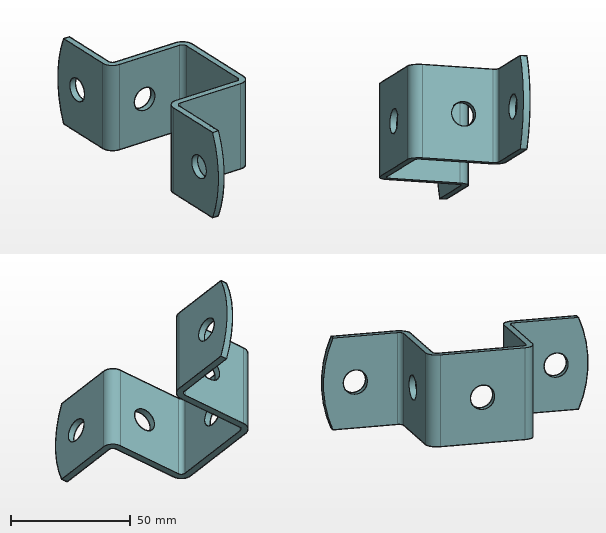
import cadquery as cq
import math

length = 116.0
depth = 41.0
height = 40.0

thickness = 3.0
inner_bend_radius = 2.0
outer_bend_radius = inner_bend_radius + thickness

hat_width = 47.0
end_radius = 50.0

hole_diameter = 10.5
flange_hole_x = 44.0
leg_hole_y = 18.0

half_length = length / 2
half_height = height / 2
hat_outer_x = hat_width / 2
hat_inner_x = hat_outer_x - thickness

match_tolerance = 0.01


def bent_strip():
    """Hat-shaped sheet with square ends, folded along Z."""
    outline = [
        (-half_length, 0),
        (-hat_inner_x, 0),
        (-hat_inner_x, depth - thickness),
        (hat_inner_x, depth - thickness),
        (hat_inner_x, 0),
        (half_length, 0),
        (half_length, thickness),
        (hat_outer_x, thickness),
        (hat_outer_x, depth),
        (-hat_outer_x, depth),
        (-hat_outer_x, thickness),
        (-half_length, thickness),
    ]
    strip = (
        cq.Workplane("XY")
        .workplane(offset=-half_height)
        .polyline(outline)
        .close()
        .extrude(height)
    )
    outer_bends = [(x, 0) for x in (-hat_inner_x, hat_inner_x)]
    outer_bends += [(x, depth) for x in (-hat_outer_x, hat_outer_x)]
    inner_bends = [(x, thickness) for x in (-hat_outer_x, hat_outer_x)]
    inner_bends += [(x, depth - thickness) for x in (-hat_inner_x, hat_inner_x)]
    strip = round_bends(strip, outer_bends, outer_bend_radius)
    return round_bends(strip, inner_bends, inner_bend_radius)


def round_bends(strip, corners, radius):
    """Fillet the vertical edges standing at the given XY corners."""
    edges = strip.edges("|Z").filter(
        lambda edge: any(
            abs(edge.Center().x - x) + abs(edge.Center().y - y) < match_tolerance
            for x, y in corners
        )
    )
    return edges.fillet(radius)


def rounded_end_envelope():
    """Block through the full depth whose two ends are shallow arcs."""
    end_bulge = end_radius - math.sqrt(end_radius**2 - half_height**2)
    corner_x = half_length - end_bulge
    return (
        cq.Workplane("XZ")
        .moveTo(-corner_x, -half_height)
        .lineTo(corner_x, -half_height)
        .threePointArc((half_length, 0), (corner_x, half_height))
        .lineTo(-corner_x, half_height)
        .threePointArc((-half_length, 0), (-corner_x, -half_height))
        .close()
        .extrude(-depth)
    )


def face_holes():
    """Holes along Y through both flanges and the web."""
    return (
        cq.Workplane("XZ")
        .pushPoints([(-flange_hole_x, 0), (0, 0), (flange_hole_x, 0)])
        .circle(hole_diameter / 2)
        .extrude(-depth)
    )


def leg_holes():
    """Hole along X through both legs."""
    return (
        cq.Workplane("YZ")
        .center(leg_hole_y, 0)
        .circle(hole_diameter / 2)
        .extrude(hat_outer_x, both=True)
    )


result = bent_strip().intersect(rounded_end_envelope()).cut(face_holes()).cut(leg_holes())